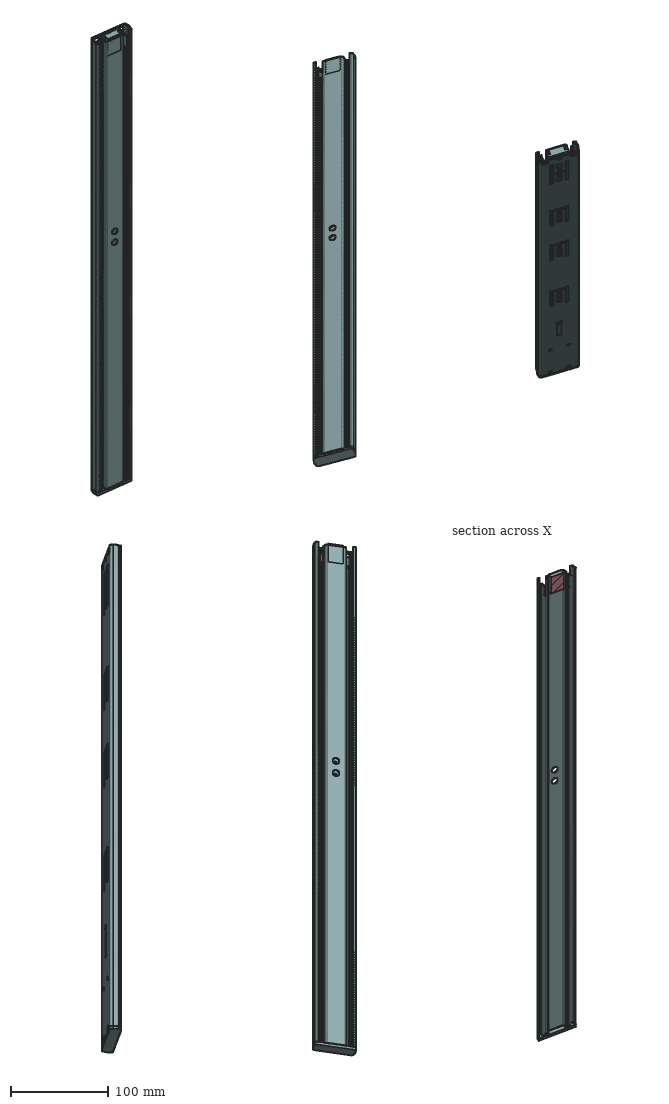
import cadquery as cq


slide_length = 600.0
slide_depth = 12.7
slide_width = 44.98
sheet = 1.2
cabinet_depth = 12.2
shoulder_width = 43.6
back_corner_radius = 2.4
front_corner_radius = 1.4
race_width = 5.8
lip_edge_y = 18.4

cap_height = 3.6

inner_top = 592.0
inner_length = inner_top - cap_height
inner_corner_radius = 2.0
middle_web_x = 2.2
middle_front_x = 11.0
middle_width = 34.0
retainer_sheet = 1.0
retainer_web_x = 4.6
retainer_front_x = 9.5
retainer_width = 30.0
drawer_back_x = 6.6
drawer_width = 23.0
drawer_top = 598.0

stop_base_width = 23.0
stop_head_width = 16.0
stop_height = 22.0
stop_back_x = middle_web_x + sheet
stop_step_x = 6.2
stop_front_x = slide_depth - sheet
stop_bottom = slide_length - stop_height

tab_leg_y = 8.2
tab_leg_width = 3.6
tab_ledge_depth = 0.6
top_tab_center = 556.8
top_tab_leg_top = 582.6
top_tab_leg_bottom = 532.6
top_tab_cross_width = 1.8
lower_tab_centers = (436.0, 340.0, 212.0)
lower_tab_leg_length = 42.0
lower_tab_cross_width = 4.2

screw_hole = 4.5
large_hole = 6.2
slot_width = 6.2
top_tab_hole_offset = 8.0
top_tab_countersink_offset = -5.4
top_tab_slot_offsets = (19.2, -17.3)
top_tab_slot_length = 11.0
countersunk_hole = 4.2
countersink = 5.4
lower_tab_hole_offset = 9.6
lower_tab_large_offset = 1.4
lower_tab_slot_offset = -10.9
lower_tab_slot_length = 10.0

access_tab_center = lower_tab_centers[1]
access_hole = 7.0
access_hole_offsets = (1.4, -13.0)

top_hole_z = 595.4
latch_hole_z = 139.3
latch_hole = 6.2
latch_slot_top = 132.8
latch_slot_bottom = 103.7
latch_slot_width = 5.0
pilot_hole = 2.4
pilot_countersink = 4.2
pilot_y = 9.9
pilot_z = 69.8
clip_slot_width = 4.2
clip_slot_bottom = 5.2
clip_slot_top = 10.4
window_outer_y = 18.9
window_inner_y = 12.0
window_bottom = 592.4
window_top = 597.6


def box(x0, x1, y0, y1, z0, z1):
    """Box between two corners."""
    block = cq.Workplane("XY").box(x1 - x0, y1 - y0, z1 - z0, centered=False)
    return block.translate((x0, y0, z0))


def channel(back_x, front_x, width, wall, radius, z0, length):
    """Channel with its web on the -X side and its open side toward +X."""
    outer = box(back_x, front_x, -width / 2, width / 2, z0, z0 + length)
    outer = outer.edges("|Z and <X").fillet(radius)
    half_inside = width / 2 - wall
    inside = box(back_x + wall, front_x, -half_inside, half_inside, z0, z0 + length)
    inside = inside.edges("|Z and <X").fillet(radius - wall)
    return outer.cut(inside)


def bore(diameter, y, z):
    """Round cutter along X through the whole slide."""
    return cq.Workplane("YZ").center(y, z).circle(diameter / 2).extrude(slide_depth)


def web_slot(width, length, z):
    """Upright cutter with round ends through the middle of the cabinet web."""
    return cq.Workplane("YZ").center(0, z).slot2D(length, width, 90).extrude(sheet)


def web_box(y0, y1, z0, z1):
    """Rectangular cutter through the cabinet web."""
    return box(0, sheet, y0, y1, z0, z1)


def web_bore(diameter, y, z):
    """Round cutter through the cabinet web."""
    return cq.Workplane("YZ").center(y, z).circle(diameter / 2).extrude(sheet)


def countersunk_bore(diameter, head_diameter, y, z):
    """Cutter through the cabinet web that widens to the head diameter at its outer face."""
    cone = cq.Workplane("YZ").center(y, z).circle(head_diameter / 2)
    cone = cone.workplane(offset=sheet / 2).circle(diameter / 2).loft(ruled=True)
    return web_bore(diameter, y, z).union(cone)


def cut_tab_legs(member, bottom, top):
    """Two upright slots; the half of each slot away from the tab is only a shallow ledge."""
    half_leg = tab_leg_width / 2
    for side in (-1, 1):
        inner_y = side * (tab_leg_y - half_leg)
        middle_y = side * tab_leg_y
        outer_y = side * (tab_leg_y + half_leg)
        y0, y1 = sorted((inner_y, middle_y))
        member = member.cut(web_box(y0, y1, bottom, top))
        y0, y1 = sorted((middle_y, outer_y))
        member = member.cut(box(0, tab_ledge_depth, y0, y1, bottom, top))
    return member


def cut_top_tab(member):
    """Two tabs separated by an H-shaped slot, each with a round hole and a long hole."""
    half_cross = top_tab_cross_width / 2
    cross = web_box(-tab_leg_y, tab_leg_y, top_tab_center - half_cross, top_tab_center + half_cross)
    member = cut_tab_legs(member.cut(cross), top_tab_leg_bottom, top_tab_leg_top)
    member = member.cut(web_bore(screw_hole, 0, top_tab_center + top_tab_hole_offset))
    countersink_z = top_tab_center + top_tab_countersink_offset
    member = member.cut(countersunk_bore(countersunk_hole, countersink, 0, countersink_z))
    for offset in top_tab_slot_offsets:
        member = member.cut(web_slot(slot_width, top_tab_slot_length, top_tab_center + offset))
    return member


def cut_lower_tab(member, center):
    """Tab freed by an upside-down U slot, with two round holes and a long hole."""
    top = center + lower_tab_leg_length / 2
    bottom = center - lower_tab_leg_length / 2
    cross = web_box(-tab_leg_y, tab_leg_y, top - lower_tab_cross_width, top)
    member = cut_tab_legs(member.cut(cross), bottom, top)
    member = member.cut(web_bore(screw_hole, 0, center + lower_tab_hole_offset))
    member = member.cut(web_bore(large_hole, 0, center + lower_tab_large_offset))
    return member.cut(web_slot(slot_width, lower_tab_slot_length, center + lower_tab_slot_offset))


def cut_latch_slot(member):
    """Long slot with a round top and a square bottom."""
    half_width = latch_slot_width / 2
    arc_z = latch_slot_top - half_width
    member = member.cut(web_bore(latch_slot_width, 0, arc_z))
    return member.cut(web_box(-half_width, half_width, latch_slot_bottom, arc_z))


def cabinet_outline():
    """Closed outline of the cabinet profile: rounded corners and a bulged race on each side."""
    half_width = slide_width / 2
    shoulder_y = shoulder_width / 2
    back_corner_y = shoulder_y - back_corner_radius
    front_corner_y = shoulder_y - front_corner_radius
    front_corner_x = cabinet_depth - front_corner_radius
    middle_x = cabinet_depth / 2
    race_back_x = middle_x - race_width / 2
    race_front_x = middle_x + race_width / 2
    return (
        cq.Workplane("XY")
        .moveTo(0, -back_corner_y)
        .radiusArc((back_corner_radius, -shoulder_y), -back_corner_radius)
        .lineTo(race_back_x, -shoulder_y)
        .threePointArc((middle_x, -half_width), (race_front_x, -shoulder_y))
        .lineTo(front_corner_x, -shoulder_y)
        .radiusArc((cabinet_depth, -front_corner_y), -front_corner_radius)
        .lineTo(cabinet_depth, front_corner_y)
        .radiusArc((front_corner_x, shoulder_y), -front_corner_radius)
        .lineTo(race_front_x, shoulder_y)
        .threePointArc((middle_x, half_width), (race_back_x, shoulder_y))
        .lineTo(back_corner_radius, shoulder_y)
        .radiusArc((0, back_corner_y), -back_corner_radius)
        .close()
    )


def make_cabinet_member():
    length = slide_length - cap_height
    outer = cabinet_outline().extrude(length)
    inside = cabinet_outline().offset2D(-sheet).extrude(length)
    member = outer.cut(inside).translate((0, 0, cap_height))
    mouth = box(cabinet_depth / 2, cabinet_depth, -lip_edge_y, lip_edge_y, cap_height, slide_length)
    member = member.cut(mouth)

    member = cut_top_tab(member)
    for center in lower_tab_centers:
        member = cut_lower_tab(member, center)
    member = member.cut(web_bore(screw_hole, 0, top_hole_z))
    member = member.cut(web_bore(latch_hole, 0, latch_hole_z))
    member = cut_latch_slot(member)
    for side in (-1, 1):
        center_y = side * pilot_y
        member = member.cut(countersunk_bore(pilot_hole, pilot_countersink, center_y, pilot_z))
        y0 = center_y - clip_slot_width / 2
        member = member.cut(web_box(y0, y0 + clip_slot_width, clip_slot_bottom, clip_slot_top))
        y0, y1 = sorted((side * window_inner_y, side * window_outer_y))
        member = member.cut(web_box(y0, y1, window_bottom, window_top))
    return member


def cut_access_holes(member):
    for offset in access_hole_offsets:
        member = member.cut(bore(access_hole, 0, access_tab_center + offset))
    return member


def make_middle_member():
    member = channel(middle_web_x, middle_front_x, middle_width, sheet,
                     inner_corner_radius, cap_height, inner_length)
    return cut_access_holes(member)


def make_ball_retainer():
    member = channel(retainer_web_x, retainer_front_x, retainer_width, retainer_sheet,
                     inner_corner_radius, cap_height, stop_bottom - cap_height)
    return cut_access_holes(member)


def make_drawer_member():
    depth = slide_depth - drawer_back_x
    length = drawer_top - cap_height
    member = channel(0, depth, drawer_width, sheet, inner_corner_radius, cap_height, length)
    member = member.mirror("YZ").translate((slide_depth, 0, 0))
    return cut_access_holes(member)


def make_stop_block():
    half_base = stop_base_width / 2
    half_head = stop_head_width / 2
    base = box(stop_back_x, stop_step_x, -half_base, half_base, stop_bottom, slide_length)
    head = box(stop_step_x, stop_front_x, -half_head, half_head, stop_bottom, slide_length)
    return base.union(head)


def make_end_cap():
    return cabinet_outline().extrude(cap_height)


cabinet_member = make_cabinet_member()
middle_member = make_middle_member()
ball_retainer = make_ball_retainer()
drawer_member = make_drawer_member()
stop_block = make_stop_block()
end_cap = make_end_cap()

result = cq.Compound.makeCompound([
    cabinet_member.val(),
    middle_member.val(),
    ball_retainer.val(),
    drawer_member.val(),
    stop_block.val(),
    end_cap.val(),
])